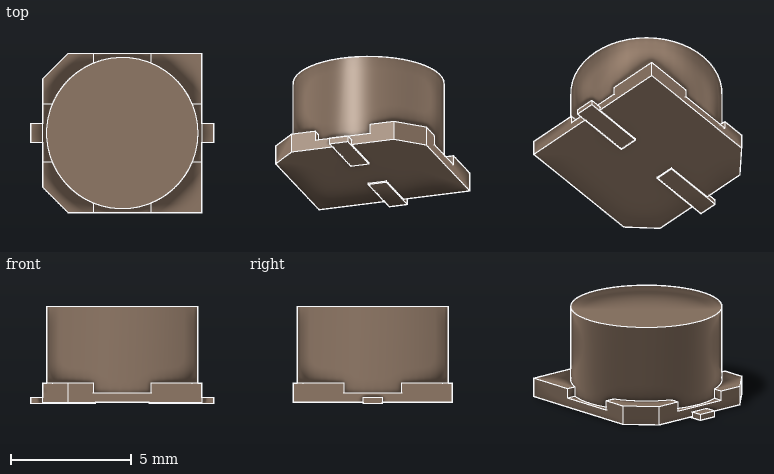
import cadquery as cq

overall_length = 7.59
overall_height = 4.02

base_side = 6.6
base_bottom = 0.05
base_top = 0.85
corner_cut = 1.06

notch_width = 2.4
notch_floor = 0.45

can_diameter = 6.27

lead_width = 0.8
lead_thickness = 0.26
lead_gap = 2.2
lead_length = (overall_length - lead_gap) / 2
lead_center = (overall_length + lead_gap) / 4

lead_sides = (-1, 1)


def make_can():
    """Plain cylinder from the recess floor to the top of the part."""
    return (
        cq.Workplane("XY")
        .workplane(offset=notch_floor)
        .circle(can_diameter / 2)
        .extrude(overall_height - notch_floor)
    )


def make_lead(side):
    """Flat bar pointing out along X; side is -1 or +1."""
    return (
        cq.Workplane("XY")
        .center(side * lead_center, 0)
        .rect(lead_length, lead_width)
        .extrude(lead_thickness)
    )


def make_base(can, leads):
    """Plate with cut corners, side notches, can recess and lead slots."""
    plate = (
        cq.Workplane("XY")
        .workplane(offset=base_bottom)
        .rect(base_side, base_side)
        .extrude(base_top - base_bottom)
        .edges("|Z and <X")
        .chamfer(corner_cut)
    )
    for size_x, size_y in ((base_side, notch_width), (notch_width, base_side)):
        channel = (
            cq.Workplane("XY")
            .workplane(offset=notch_floor)
            .rect(size_x, size_y)
            .extrude(base_top - notch_floor)
        )
        plate = plate.cut(channel)
    plate = plate.cut(can)
    for lead in leads:
        plate = plate.cut(lead)
    return plate


can = make_can()
leads = [make_lead(side) for side in lead_sides]
base = make_base(can, leads)

result = cq.Compound.makeCompound([base.val(), can.val(), *[lead.val() for lead in leads]])